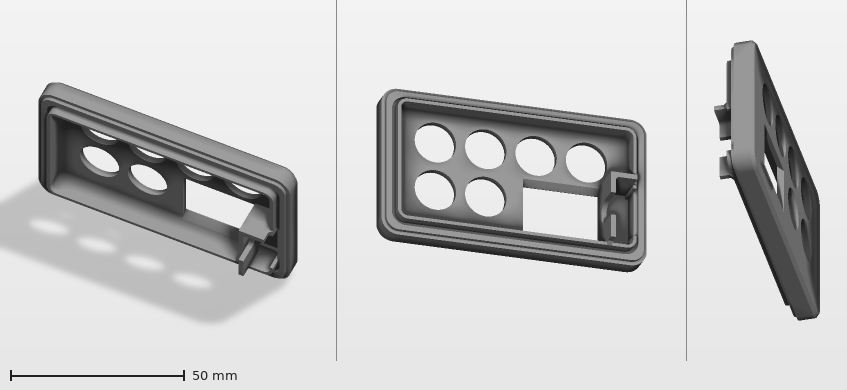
import cadquery as cq


length = 80.0
height = 46.0
corner_radius = 5.0
lip_length = 77.8
groove_length = 74.2
lip_taper = 6.0
rim_length = 72.0
pocket_length = 70.0
inner_corner_radius = 2.0
rim_wall = (rim_length - pocket_length) / 2
back_chamfer = rim_wall

floor_thickness = 2.0
flange_depth = 6.0
rim_projection = 2.0
bracket_projection = 4.0
lip_depth = flange_depth + rim_wall
rim_depth = lip_depth + rim_projection
bracket_depth = rim_depth + bracket_projection
recess_depth = rim_wall

hole_diameter = 12.5
hole_pitch_x = 15.2
hole_pitch_z = 15.0
first_hole_x = -22.5
top_row_z = 9.5
hole_rows = [4, 2]

window_left = 4.0
window_top = 0.0
window_bottom = -15.0
window_land = 0.2
window_cut_depth = 2.6

bracket_inset = 8.0
bracket_left = pocket_length / 2 - bracket_inset
bracket_top = 2.6
bracket_thickness = 1.5
bracket_chamfer = rim_wall
bracket_inner_radius = 1.0
slot_top = -4.0
slot_bottom = -11.0
slot_centre_depth = 7.3

bracket_inner_left = bracket_left + bracket_thickness
bracket_inner_top = bracket_top - bracket_thickness
rim_right = rim_length / 2
pocket_right = pocket_length / 2
rim_bottom = -(height - (length - rim_length)) / 2
pocket_bottom = -(height - (length - pocket_length)) / 2


def box(x_range, depth_range, z_range):
    """Box between two x values, two depths below the outer face and two z values."""
    x_min, x_max = x_range
    depth_min, depth_max = depth_range
    z_min, z_max = z_range
    return (
        cq.Workplane("XY")
        .box(x_max - x_min, depth_max - depth_min, z_max - z_min, centered=False)
        .translate((x_min, -depth_max, z_min))
    )


def rounded_plate(plate_length, radius, depth_from, depth_to, taper=0):
    """Rounded rectangle with the frame's even margin on all four sides."""
    plate_height = height - (length - plate_length)
    outline = cq.Sketch().rect(plate_length, plate_height).vertices().fillet(radius)
    return (
        cq.Workplane("XZ", origin=(0, -depth_from, 0))
        .placeSketch(outline)
        .extrude(depth_to - depth_from, taper=taper)
    )


def make_frame():
    lip_radius = corner_radius - (length - lip_length) / 2
    groove_radius = inner_corner_radius + (groove_length - pocket_length) / 2
    rim_radius = inner_corner_radius + rim_wall
    flange = rounded_plate(length, corner_radius, 0, flange_depth)
    flange = flange.faces(">Y").edges().chamfer(back_chamfer)
    lip = rounded_plate(lip_length, lip_radius, flange_depth, lip_depth, lip_taper)
    groove = rounded_plate(groove_length, groove_radius, flange_depth, lip_depth, -lip_taper)
    rim = rounded_plate(rim_length, rim_radius, floor_thickness, rim_depth)
    return flange.union(lip).cut(groove).union(rim)


def make_pocket():
    """Inside of the frame, with a deeper flat floor within the bracket."""
    pocket = rounded_plate(pocket_length, inner_corner_radius, floor_thickness, rim_depth)
    pocket = pocket.faces(">Y").edges().fillet(inner_corner_radius)
    recess = box(
        (bracket_inner_left, pocket_right),
        (recess_depth, rim_depth),
        (pocket_bottom + inner_corner_radius, bracket_inner_top),
    )
    return pocket.union(recess)


def make_side_notch():
    """Gap in the rim inside the bracket, from the recess to the rim's front."""
    return box((pocket_right, rim_right), (recess_depth, rim_depth), (window_bottom, window_top))


def make_holes():
    centres = [
        (first_hole_x + column * hole_pitch_x, top_row_z - row * hole_pitch_z)
        for row, count in enumerate(hole_rows)
        for column in range(count)
    ]
    return (
        cq.Workplane("XZ")
        .pushPoints(centres)
        .circle(hole_diameter / 2)
        .extrude(floor_thickness)
    )


def make_window():
    flare = window_cut_depth - window_land
    profile = [
        (0, window_top),
        (-window_land, window_top),
        (-window_cut_depth, window_top + flare),
        (-window_cut_depth, window_bottom - flare),
        (-window_land, window_bottom),
        (0, window_bottom),
    ]
    return (
        cq.Workplane("YZ", origin=(window_left, 0, 0))
        .polyline(profile)
        .close()
        .extrude(bracket_left - window_left)
    )


def make_bracket():
    body = box((bracket_left, rim_right), (0, bracket_depth), (rim_bottom, bracket_top))
    inside = box(
        (bracket_inner_left, rim_right),
        (0, bracket_depth),
        (rim_bottom, bracket_inner_top),
    )
    inside = inside.edges("|Y and <X and >Z").fillet(bracket_inner_radius)
    body = body.cut(inside)

    right_trim = (
        cq.Workplane("XY", origin=(0, 0, rim_bottom))
        .moveTo(rim_right, -rim_depth)
        .lineTo(rim_right - bracket_chamfer, -rim_depth - bracket_chamfer)
        .lineTo(rim_right - bracket_chamfer, -bracket_depth)
        .lineTo(rim_right, -bracket_depth)
        .close()
        .extrude(bracket_top - rim_bottom)
    )
    bottom_trim = (
        cq.Workplane("YZ", origin=(bracket_left, 0, 0))
        .moveTo(-rim_depth, rim_bottom)
        .lineTo(-rim_depth - bracket_chamfer, rim_bottom + bracket_chamfer)
        .lineTo(-bracket_depth, rim_bottom + bracket_chamfer)
        .lineTo(-bracket_depth, rim_bottom)
        .close()
        .extrude(bracket_thickness)
    )
    slot_radius = (slot_top - slot_bottom) / 2
    slot = (
        cq.Workplane("YZ", origin=(bracket_left, 0, 0))
        .moveTo(-bracket_depth, slot_top)
        .lineTo(-slot_centre_depth, slot_top)
        .threePointArc(
            (slot_radius - slot_centre_depth, slot_top - slot_radius),
            (-slot_centre_depth, slot_bottom),
        )
        .lineTo(-bracket_depth, slot_bottom)
        .close()
        .extrude(bracket_thickness)
    )
    return body.cut(right_trim).cut(bottom_trim).cut(slot)


frame = make_frame().cut(make_pocket()).cut(make_holes()).cut(make_window())
result = frame.union(make_bracket()).cut(make_side_notch())